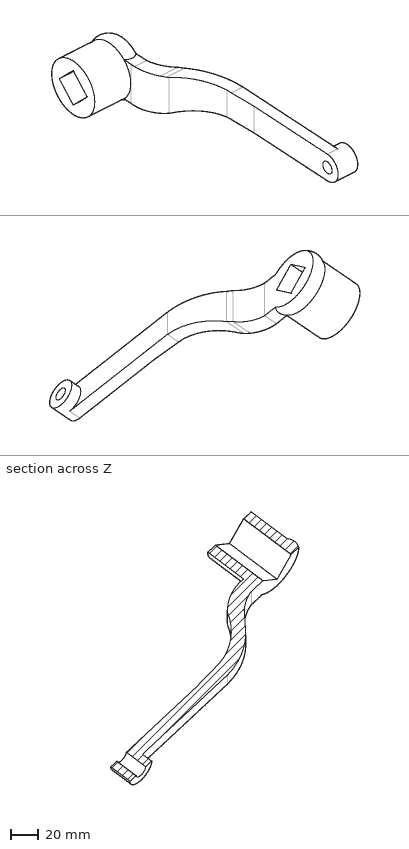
import cadquery as cq

HUB_RADIUS = 24.0
COLLAR_RADIUS = 26.0
HUB_LENGTH = 47.0
COLLAR_WIDTH = 12.0
COLLAR_FRONT = HUB_LENGTH - COLLAR_WIDTH
SQUARE_DIAGONAL = 31.0

OVERALL_LENGTH = 238.0
OVERALL_DEPTH = 92.0
BOSS_RADIUS = 12.01
BOSS_HOLE_DIAMETER = 10.2
BOSS_X = OVERALL_LENGTH - COLLAR_RADIUS - BOSS_RADIUS

BAR_FRONT = 72.8
BAR_BACK = 83.0

BEND_START = 28.3
LOWER_BEND_END = 49.0
UPPER_BEND_START = 52.5
UPPER_BEND_END = 94.5
FRONT_BEND_END = 89.7
FRONT_TAPER_END = 118.5

BACK_LOWER_MID = (40.2, 51.6)
BACK_LOWER_END = (LOWER_BEND_END, 59.5)
BACK_UPPER_START = (UPPER_BEND_START, 62.8)
BACK_UPPER_MID = (71.0, 77.0)
FRONT_LOWER_MID = (40.5, 37.5)
FRONT_LOWER_END = (54.0, 46.5)
FRONT_UPPER_MID = (69.7, 63.5)
FRONT_UPPER_END = (FRONT_BEND_END, 71.4)

ROOT_HALF_HEIGHT = 17.5
LOWER_BEND_HALF_HEIGHT = 16.77
UPPER_BEND_HALF_HEIGHT = 16.3
NARROWING_MID = (71.4, 13.5)


def disc(radius, x, front, back):
    """Cylinder along Y between two depths."""
    return cq.Workplane("XZ", origin=(x, front, 0)).circle(radius).extrude(front - back)


def make_hub():
    """Round hub with a bulging collar around its back end."""
    return (
        cq.Workplane("XY")
        .lineTo(HUB_RADIUS, 0)
        .lineTo(HUB_RADIUS, COLLAR_FRONT)
        .threePointArc((COLLAR_RADIUS, COLLAR_FRONT + COLLAR_WIDTH / 2), (HUB_RADIUS, HUB_LENGTH))
        .lineTo(0, HUB_LENGTH)
        .close()
        .revolve(360, (0, 0, 0), (0, 1, 0))
    )


def make_bent_strip():
    """S-bent strip of constant height, tall enough to be trimmed to the arm."""
    return (
        cq.Workplane("XY")
        .moveTo(0, COLLAR_FRONT)
        .lineTo(HUB_RADIUS, COLLAR_FRONT)
        .threePointArc(FRONT_LOWER_MID, FRONT_LOWER_END)
        .threePointArc(FRONT_UPPER_MID, FRONT_UPPER_END)
        .lineTo(FRONT_TAPER_END, BAR_FRONT)
        .lineTo(BOSS_X + BOSS_RADIUS, BAR_FRONT)
        .lineTo(BOSS_X + BOSS_RADIUS, BAR_BACK)
        .lineTo(UPPER_BEND_END, BAR_BACK)
        .threePointArc(BACK_UPPER_MID, BACK_UPPER_START)
        .lineTo(*BACK_LOWER_END)
        .threePointArc(BACK_LOWER_MID, (BEND_START, HUB_LENGTH))
        .lineTo(0, HUB_LENGTH)
        .close()
        .extrude(ROOT_HALF_HEIGHT, both=True)
    )


def make_arm():
    """Bent strip trimmed to the narrowing outline with a round tip."""
    upper_half = (
        cq.Workplane("XZ")
        .lineTo(0, ROOT_HALF_HEIGHT)
        .lineTo(BEND_START, ROOT_HALF_HEIGHT)
        .tangentArcPoint((LOWER_BEND_END, LOWER_BEND_HALF_HEIGHT), relative=False)
        .lineTo(UPPER_BEND_START, UPPER_BEND_HALF_HEIGHT)
        .threePointArc(NARROWING_MID, (UPPER_BEND_END, BOSS_RADIUS))
        .lineTo(BOSS_X, BOSS_RADIUS)
        .tangentArcPoint((BOSS_X + BOSS_RADIUS, 0), relative=False)
        .close()
        .extrude(-OVERALL_DEPTH)
    )
    outline = upper_half.union(upper_half.mirror("XY"))
    return make_bent_strip().intersect(outline)


square_hole = (
    cq.Workplane("XZ")
    .polygon(4, SQUARE_DIAGONAL)
    .extrude(-HUB_LENGTH)
)
boss = disc(BOSS_RADIUS, BOSS_X, BAR_FRONT, OVERALL_DEPTH)
boss_hole = disc(BOSS_HOLE_DIAMETER / 2, BOSS_X, BAR_FRONT, OVERALL_DEPTH)

result = make_hub().union(make_arm()).union(boss).cut(square_hole).cut(boss_hole)